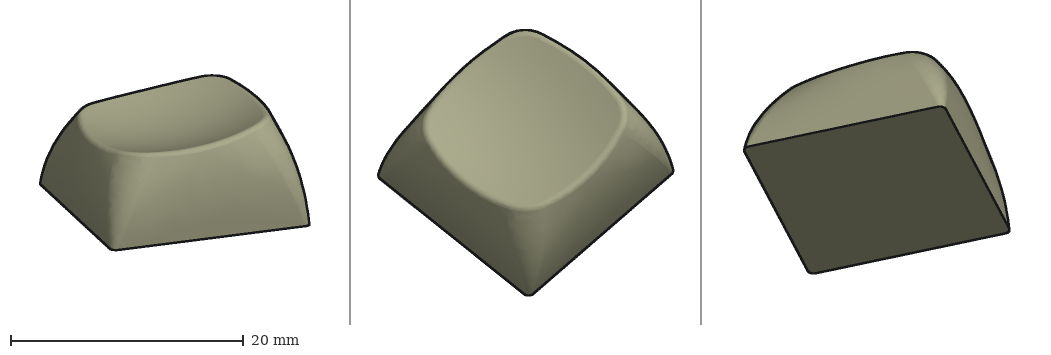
import cadquery as cq
import math

base_half = 9.13
base_corner = 0.55

rim_height = 8.13
rim_slope = 0.11
rim_side_half_length = 4.62
side_length_power = 1.15
side_inset = 1.53
side_bow = 0.6
side_bow_power = 1.5
side_curve_power = 2.7

base_arc_ratio = (math.sqrt(2) - 1) / 2
rim_arc_ratio = 0.16

levels = [0.0, 0.3, 0.6, 0.9, 1.2]

dish_radius = 24.65
dish_slope = 0.12
dish_center_height = 6.77
rim_fillet = 0.55


def outline(level):
    """Closed outline of four bowed sides and four round corners on a tilted plane."""
    middle = base_half - side_inset * level**side_curve_power
    bow = side_bow * level**side_bow_power
    end = middle - bow
    base_end = base_half - base_corner
    half_length = base_end + (rim_side_half_length - base_end) * level**side_length_power
    chord = math.sqrt(2) * (end - half_length)
    arc_ratio = base_arc_ratio + (rim_arc_ratio - base_arc_ratio) * level
    corner = (end + half_length) / 2 + arc_ratio * chord / math.sqrt(2)

    def point(along, out, turn):
        cos, sin = [(1, 0), (0, 1), (-1, 0), (0, -1)][turn % 4]
        x = out * cos - along * sin
        y = out * sin + along * cos
        return cq.Vector(x, y, level * (rim_height + rim_slope * y))

    edges = []
    for turn in range(4):
        start = point(-half_length, end, turn)
        stop = point(half_length, end, turn)
        next_start = point(-half_length, end, turn + 1)
        if bow > 0:
            edges.append(cq.Edge.makeThreePointArc(start, point(0, middle, turn), stop))
        else:
            edges.append(cq.Edge.makeLine(start, stop))
        edges.append(cq.Edge.makeThreePointArc(stop, point(corner, corner, turn), next_start))
    return cq.Wire.assembleEdges(edges)


body = cq.Workplane(cq.Solid.makeLoft([outline(level) for level in levels]))

tilt = math.atan(dish_slope)
ball_center = (
    0,
    -dish_radius * math.sin(tilt),
    dish_center_height + dish_radius * math.cos(tilt),
)
ball = cq.Workplane("XZ").sphere(dish_radius).translate(ball_center)
dished = body.cut(ball)

result = dished.faces("%SPHERE").edges().fillet(rim_fillet)